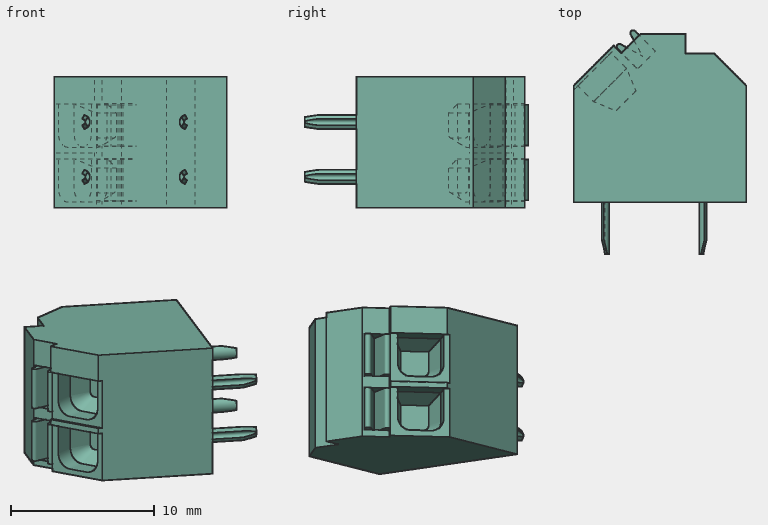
import cadquery as cq
import math


width = 12.0
height = 9.12
body_depth = 11.72
shoulder = 8.12
entry_rise = 2.79
notch_drop = 0.53
step_x = 7.78
step_y = 10.35

ways = 2
pitch = 3.81
overlap = 0.78

recess_height = 3.42
recess_depth = 0.2

hole_start = 0.39
hole_width = 3.25
hole_bottom = 0.4
hole_radius = 0.96
hole_straight = 1.54
funnel_depth = 1.55
funnel_angle = 22.5

button_length = 1.75
button_gap = 0.02
button_bottom = 0.51
button_height = 2.85
tooth_base = 0.53
tooth_radius = 0.2
groove_half_angle = math.radians(16.1)
slot_bottom = 0.47
slot_height = 2.99
slot_depth = 1.55

pin_length = 3.6
pin_columns = ((1.98, 1), (9.21, -1))
pin_z = 2.15
strip_thickness = 0.31
bend_radius = 0.5
bend_half_angle = math.radians(60)
leg_length = 0.14
taper_length = 1.0
taper_inset = 0.28

along = cq.Vector(1, 1, 0).normalized()
outward = cq.Vector(-1, 1, 0).normalized()

peak = (entry_rise, shoulder + entry_rise)
ramp_foot = (peak[0] + notch_drop, peak[1] - notch_drop)
ramp_rise = body_depth - ramp_foot[1]
way_heights = [way * pitch for way in range(ways)]


def housing():
    outline = [
        (0, 0),
        (width, 0),
        (width, shoulder),
        (width - (step_y - shoulder), step_y),
        (step_x, step_y),
        (step_x, body_depth),
        (ramp_foot[0] + ramp_rise, body_depth),
        ramp_foot,
        peak,
        (0, shoulder),
    ]
    return cq.Workplane("XY").polyline(outline).close().extrude(height)


def entry_recess(z):
    """Slab that lowers the entry face from its side edge to past its peak."""
    face_length = entry_rise * math.sqrt(2)
    plane = cq.Plane((0, shoulder, z), along, (0, 0, 1))
    return (
        cq.Workplane(plane)
        .moveTo(-overlap, -recess_depth)
        .lineTo(face_length + overlap, -recess_depth)
        .lineTo(face_length + overlap, overlap)
        .lineTo(-overlap, overlap)
        .close()
        .extrude(recess_height)
    )


def hole_profile(plane):
    """Opening with square upper corners and round lower corners."""
    right = hole_start + hole_width
    arc_z = hole_bottom + hole_radius
    return (
        cq.Workplane(plane)
        .moveTo(hole_start, recess_height)
        .lineTo(hole_start, arc_z)
        .radiusArc((hole_start + hole_radius, hole_bottom), -hole_radius)
        .lineTo(right - hole_radius, hole_bottom)
        .radiusArc((right, arc_z), -hole_radius)
        .lineTo(right, recess_height)
        .close()
    )


def wire_hole(z):
    """Straight mouth followed by a funnel that narrows on all sides."""
    face_corner = cq.Vector(0, shoulder - recess_depth * math.sqrt(2), z)
    funnel_corner = face_corner - outward * hole_straight
    mouth = hole_profile(cq.Plane(face_corner, along, -outward)).extrude(hole_straight)
    funnel = hole_profile(cq.Plane(funnel_corner, along, -outward)).extrude(
        funnel_depth, taper=funnel_angle
    )
    return mouth.union(funnel)


def ramp_plane(z, offset=0):
    """Plane across the ramp, starting the given offset up from its foot."""
    origin = cq.Vector(*ramp_foot, z) + along * offset
    return cq.Workplane(cq.Plane(origin, along, (0, 0, 1)))


def button_slot(z):
    slot_length = button_gap + button_length
    return (
        ramp_plane(z + slot_bottom)
        .moveTo(0, -slot_depth)
        .lineTo(slot_length, -slot_depth)
        .lineTo(slot_length, 0)
        .lineTo(0, 0)
        .close()
        .extrude(slot_height)
    )


def button(z):
    """Two round-tipped teeth with a V groove between them."""
    slope = math.tan(groove_half_angle)
    cosine = math.cos(groove_half_angle)
    sine = math.sin(groove_half_angle)
    groove_depth = (button_length / 2 - tooth_base) / slope
    centre = (tooth_base - tooth_radius - tooth_radius / cosine) / slope
    tip = centre + tooth_radius
    flank_u = tooth_radius * (1 + cosine)
    flank_n = centre + tooth_radius * sine
    return (
        ramp_plane(z + button_bottom, button_gap)
        .moveTo(0, -slot_depth)
        .lineTo(0, centre)
        .threePointArc((tooth_radius, tip), (flank_u, flank_n))
        .lineTo(button_length / 2, -groove_depth)
        .lineTo(button_length - flank_u, flank_n)
        .threePointArc((button_length - tooth_radius, tip), (button_length, centre))
        .lineTo(button_length, -slot_depth)
        .close()
        .extrude(button_height)
    )


bend_cos = math.cos(bend_half_angle)
bend_sin = math.sin(bend_half_angle)
inner_radius = bend_radius - strip_thickness


def leg_end(radius):
    """X and Z of the upper leg end on the face bent to the given radius."""
    return (
        radius * bend_cos - leg_length * bend_sin,
        radius * bend_sin + leg_length * bend_cos,
    )


def mirrored(point):
    return point[0], -point[1]


def pin_taper():
    """Wedge that bevels the upper leg end over the pin tip."""
    across = cq.Vector(bend_cos, 0, bend_sin)
    along_leg = cq.Vector(bend_sin, 0, -bend_cos)
    x, z = leg_end(0)
    return (
        cq.Workplane(cq.Plane((x, -pin_length, z), along_leg, across))
        .polyline([(0, taper_length), (0, 0), (taper_inset, 0)])
        .close()
        .extrude(bend_radius + overlap)
    )


def pin():
    """Pin with its bend centred on the origin, bulging to +X and pointing to -Y."""
    outer_bend = (bend_radius * bend_cos, bend_radius * bend_sin)
    inner_bend = (inner_radius * bend_cos, inner_radius * bend_sin)
    section = (
        cq.Workplane("XZ")
        .moveTo(*leg_end(bend_radius))
        .lineTo(*outer_bend)
        .threePointArc((bend_radius, 0), mirrored(outer_bend))
        .lineTo(*mirrored(leg_end(bend_radius)))
        .lineTo(*mirrored(leg_end(inner_radius)))
        .lineTo(*mirrored(inner_bend))
        .threePointArc((inner_radius, 0), inner_bend)
        .lineTo(*leg_end(inner_radius))
        .close()
        .extrude(pin_length)
    )
    wedge = pin_taper()
    return section.cut(wedge).cut(wedge.mirror("XY"))


result = housing()
for z in way_heights:
    result = result.cut(entry_recess(z)).cut(wire_hole(z)).cut(button_slot(z))
    result = result.union(button(z))

right_bulge_pin = pin()
left_bulge_pin = right_bulge_pin.mirror("YZ")
for z in way_heights:
    for x, bulge in pin_columns:
        shape = right_bulge_pin if bulge > 0 else left_bulge_pin
        result = result.union(shape.translate((x, 0, z + pin_z)))